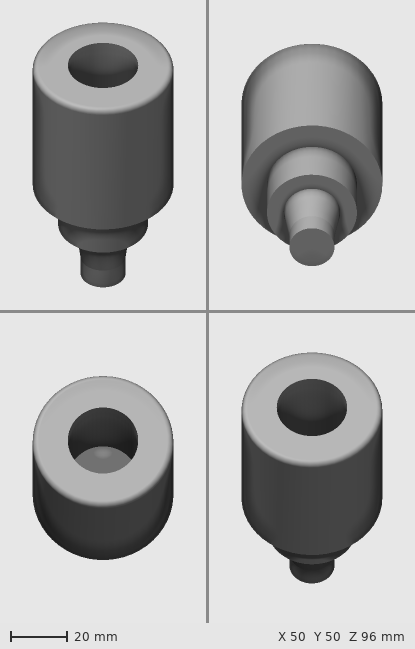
import cadquery as cq

total_length = 96.0
tip_length = 7.8
taper_length = 15.0
head_length = 55.0
collar_length = total_length - tip_length - taper_length - head_length

head_diameter = 50.0
collar_diameter = 32.0
taper_top_diameter = 20.1
tip_diameter = 16.0
bore_diameter = head_diameter / 2

head_edge_radius = 2.0
bore_depth = 40.0

taper_top = tip_length + taper_length
collar_top = taper_top + collar_length


def turned_body():
    """Revolve the stepped half-profile about Z."""
    return (
        cq.Workplane("XZ")
        .lineTo(tip_diameter / 2, 0)
        .lineTo(tip_diameter / 2, tip_length)
        .lineTo(taper_top_diameter / 2, taper_top)
        .lineTo(collar_diameter / 2, taper_top)
        .lineTo(collar_diameter / 2, collar_top)
        .lineTo(head_diameter / 2, collar_top)
        .lineTo(head_diameter / 2, total_length)
        .lineTo(0, total_length)
        .close()
        .revolve(360, (0, 0, 0), (0, 1, 0))
    )


body = turned_body().faces(">Z").edges().fillet(head_edge_radius)
result = body.faces(">Z").workplane().hole(bore_diameter, bore_depth)